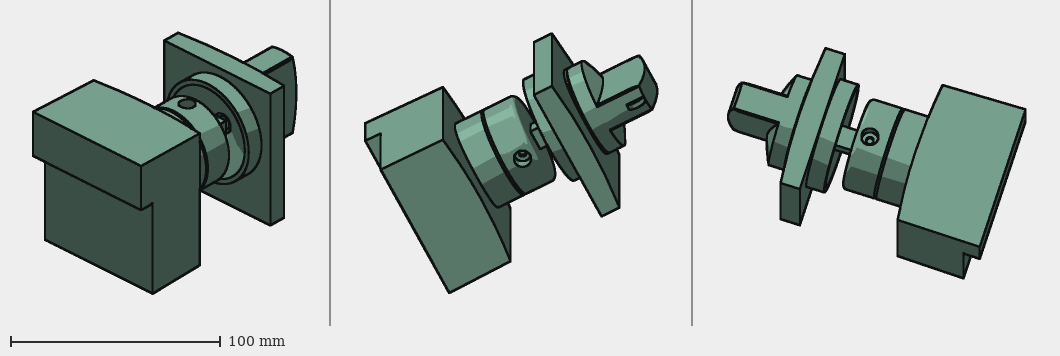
import cadquery as cq
import math

axis_x = 2.0
axis_z = 5.6
barrel_radius = 22.5

base_front_y = 41.5
base_rear_half_width = 35.5
base_rear_half_height = 38.0
step_depth = 8.2
step_z = 13.1
base_crown = 2.2
collar_front_y = 56.8

plate_half_width = 34.8
plate_half_height = 37.1
plate_rear_y = 90.5
plate_front_y = 100.2
plate_crown = 2.0
plate_collar_y = 102.6
ring_radius = 27.0
ring_rear_y = 81.6
recess_mouth_radius = 24.5
recess_middle_radius = 17.0
recess_middle_y = 84.9
recess_end_y = 92.1
stem_hole_radius = 5.2

coupling_rear_y = 58.0
coupling_front_y = 74.1
coupling_round = 2.5
shaft_width = 10.1
shaft_end_y = 89.1
stem_radius = 3.4
hub_rear_y = 93.1
screw_y = 67.3
screw_head_radius = 4.1
screw_head_depth = 8.2
screw_socket_radius = 1.8
screw_socket_depth = 2.7

knob_rear_y = 103.0
knob_rim_y = 110.8
dome_radius = 44.8
grip_tip_y = 136.5
grip_corner_y = 133.2
grip_taper_y = 118.1
grip_half_width = 9.8
grip_tip_half_width = 6.5
grip_waist_half_width = 7.8
grip_waist_y = 127.4
grip_side_half_width = 7.2
grip_side_half_height = 20.7
grip_end_half_height = math.sqrt(barrel_radius**2 - grip_tip_half_width**2)
pointer_y = 128.5
pointer_half_chord = 4.5
pointer_height = 3.0
pointer_thickness = 2.7


def along_y(radius, start_y, end_y):
    """Cylinder on the control axis."""
    return (
        cq.Workplane("XZ", origin=(axis_x, start_y, axis_z))
        .circle(radius)
        .extrude(start_y - end_y)
    )


def crowned_block(rear_y, front_y, crown, rear_half_width, half_height):
    """Block whose sides taper to the plate width and whose +Y face bulges about Z."""
    return (
        cq.Workplane("XY", origin=(0, 0, -half_height))
        .moveTo(-rear_half_width, rear_y)
        .lineTo(rear_half_width, rear_y)
        .lineTo(plate_half_width, front_y)
        .threePointArc((0, front_y + crown), (-plate_half_width, front_y))
        .close()
        .extrude(2 * half_height)
    )


def make_base():
    block = crowned_block(
        0, base_front_y, base_crown, base_rear_half_width, base_rear_half_height
    )
    crown_y = base_front_y + base_crown
    taper = (base_rear_half_height - plate_half_height) / base_front_y
    crown_half_height = base_rear_half_height - taper * crown_y
    step_bottom_z = taper * step_depth - base_rear_half_height
    side_outline = (
        cq.Workplane("YZ", origin=(-base_rear_half_width, 0, 0))
        .polyline([
            (0, base_rear_half_height),
            (0, step_z),
            (step_depth, step_z),
            (step_depth, step_bottom_z),
            (crown_y, -crown_half_height),
            (crown_y, crown_half_height),
        ])
        .close()
        .extrude(2 * base_rear_half_width)
    )
    collar = along_y(barrel_radius, base_front_y, collar_front_y)
    return block.intersect(side_outline).union(collar)


def make_plate():
    plate = crowned_block(
        plate_rear_y, plate_front_y, plate_crown, plate_half_width, plate_half_height
    )
    plate = plate.union(along_y(ring_radius, ring_rear_y, plate_rear_y))
    plate = plate.union(along_y(barrel_radius, plate_front_y, plate_collar_y))
    recess = (
        cq.Workplane("XY", origin=(axis_x, 0, axis_z))
        .polyline([
            (0, ring_rear_y),
            (recess_mouth_radius, ring_rear_y),
            (recess_middle_radius, recess_middle_y),
            (stem_hole_radius, recess_end_y),
            (stem_hole_radius, plate_collar_y),
            (0, plate_collar_y),
        ])
        .close()
        .revolve(360, (0, 0, 0), (0, 1, 0))
    )
    return plate.cut(recess)


def make_coupling():
    coupling = along_y(barrel_radius, coupling_rear_y, coupling_front_y)
    coupling = coupling.faces(">Y").edges().fillet(coupling_round)
    pocket_floor = barrel_radius - screw_head_depth
    for side in (1, -1):
        screw_plane = cq.Workplane("XY", origin=(axis_x, screw_y, axis_z + side * pocket_floor))
        pocket = screw_plane.circle(screw_head_radius).extrude(side * screw_head_depth)
        socket = screw_plane.circle(screw_socket_radius).extrude(-side * screw_socket_depth)
        coupling = coupling.cut(pocket).cut(socket)
    return coupling


def make_shaft():
    square = (
        cq.Workplane("XZ", origin=(axis_x, coupling_front_y, axis_z))
        .rect(shaft_width, shaft_width)
        .extrude(coupling_front_y - shaft_end_y)
    )
    stem = along_y(stem_radius, shaft_end_y, hub_rear_y)
    hub = along_y(stem_hole_radius, hub_rear_y, knob_rear_y)
    return square.union(stem).union(hub)


def make_grip():
    section = (
        cq.Workplane("XZ", origin=(axis_x, knob_rim_y, axis_z))
        .moveTo(-grip_side_half_width, -grip_side_half_height)
        .lineTo(-grip_tip_half_width, -grip_end_half_height)
        .threePointArc((0, -barrel_radius), (grip_tip_half_width, -grip_end_half_height))
        .lineTo(grip_side_half_width, -grip_side_half_height)
        .threePointArc((grip_half_width, 0), (grip_side_half_width, grip_side_half_height))
        .lineTo(grip_tip_half_width, grip_end_half_height)
        .threePointArc((0, barrel_radius), (-grip_tip_half_width, grip_end_half_height))
        .lineTo(-grip_side_half_width, grip_side_half_height)
        .threePointArc((-grip_half_width, 0), (-grip_side_half_width, -grip_side_half_height))
        .close()
        .extrude(knob_rim_y - grip_tip_y)
    )
    taper = (
        cq.Workplane("XY", origin=(axis_x, 0, axis_z - barrel_radius))
        .moveTo(-grip_half_width, knob_rim_y)
        .lineTo(grip_half_width, knob_rim_y)
        .lineTo(grip_half_width, grip_taper_y)
        .threePointArc((grip_waist_half_width, grip_waist_y), (grip_tip_half_width, grip_tip_y))
        .lineTo(-grip_tip_half_width, grip_tip_y)
        .threePointArc((-grip_waist_half_width, grip_waist_y), (-grip_half_width, grip_taper_y))
        .close()
        .extrude(2 * barrel_radius)
    )
    tip = (
        cq.Workplane("YZ", origin=(axis_x - grip_half_width, 0, axis_z))
        .moveTo(knob_rim_y, -barrel_radius)
        .lineTo(grip_corner_y, -barrel_radius)
        .threePointArc((grip_tip_y, 0), (grip_corner_y, barrel_radius))
        .lineTo(knob_rim_y, barrel_radius)
        .close()
        .extrude(2 * grip_half_width)
    )
    return section.intersect(taper).intersect(tip)


def make_pointer():
    rim_z = -barrel_radius
    return (
        cq.Workplane("YZ", origin=(axis_x - pointer_thickness / 2, 0, axis_z))
        .moveTo(pointer_y - pointer_half_chord, -grip_end_half_height)
        .lineTo(pointer_y - pointer_half_chord, rim_z)
        .threePointArc(
            (pointer_y, rim_z - pointer_height), (pointer_y + pointer_half_chord, rim_z)
        )
        .lineTo(pointer_y + pointer_half_chord, -grip_end_half_height)
        .close()
        .extrude(pointer_thickness)
    )


def make_knob():
    dome_rise = dome_radius - math.sqrt(dome_radius**2 - barrel_radius**2)
    dome_centre_y = knob_rim_y + dome_rise - dome_radius
    dome = cq.Workplane("XY", origin=(axis_x, dome_centre_y, axis_z)).sphere(dome_radius)
    disc = along_y(barrel_radius, knob_rear_y, knob_rim_y + dome_rise).intersect(dome)
    return disc.union(make_grip()).union(make_pointer())


base = make_base()
plate = make_plate()
rotor = make_coupling().union(make_shaft()).union(make_knob())

result = cq.Compound.makeCompound([base.val(), plate.val(), rotor.val()])